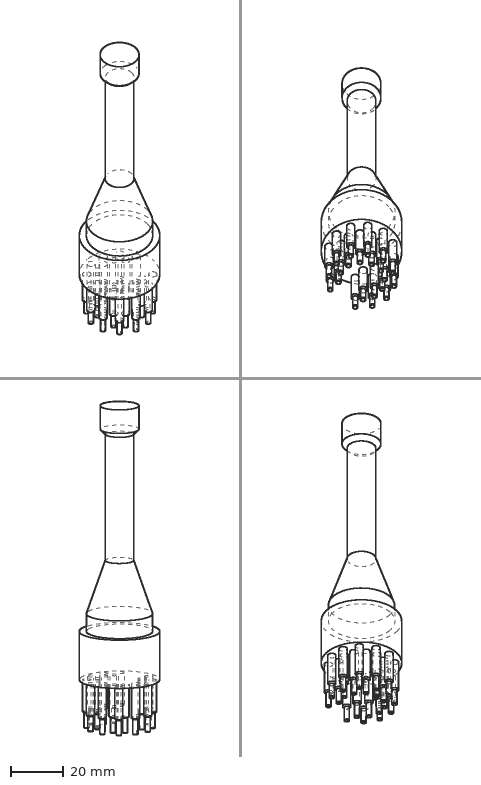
import cadquery as cq

total_height = 127.0
pin_shoulder_z = 6.0
body_bottom_z = 19.0
body_top_z = 38.1
collar_top_z = 45.1
cone_top_z = 66.0
head_bottom_z = 117.7

body_radius = 31.0 / 2
collar_radius = 25.5 / 2
stem_radius = 11.0 / 2
head_radius = 15.0 / 2

pin_radius = 3.2 / 2
tip_radius = 2.0 / 2
shoulder_chamfer = pin_radius - tip_radius
tip_chamfer = 0.3

pins_per_ring = 12
pin_pitch = 360 / pins_per_ring
outer_ring_radius = 12.7
inner_ring_radius = 8.9
inner_ring_offset = pin_pitch / 2
key_angle = 90
key_half_angle = 20


def make_body():
    """Connector body, tapered neck, stem and head turned about Z."""
    head_chamfer = head_radius - stem_radius
    profile = [
        (0, body_bottom_z),
        (body_radius, body_bottom_z),
        (body_radius, body_top_z),
        (collar_radius, body_top_z),
        (collar_radius, collar_top_z),
        (stem_radius, cone_top_z),
        (stem_radius, head_bottom_z - head_chamfer),
        (head_radius, head_bottom_z),
        (head_radius, total_height),
        (0, total_height),
    ]
    return cq.Workplane("XZ").polyline(profile).close().revolve(360, (0, 0), (0, 1))


def make_pin():
    """Stepped pin on the Z axis with its tip at Z = 0 and its root inside the body."""
    root_overlap = 1.3
    shank_length = body_bottom_z - pin_shoulder_z + root_overlap
    shank = (
        cq.Workplane("XY", origin=(0, 0, pin_shoulder_z))
        .circle(pin_radius)
        .extrude(shank_length)
        .faces("<Z")
        .chamfer(shoulder_chamfer)
    )
    tip = (
        cq.Workplane("XY")
        .circle(tip_radius)
        .extrude(pin_shoulder_z + root_overlap)
        .faces("<Z")
        .chamfer(tip_chamfer)
    )
    return shank.union(tip)


def make_pin_ring(ring_radius, start_angle):
    """Evenly spaced pins on one circle, skipping those beside the key."""
    pin = make_pin().translate((ring_radius, 0, 0))
    ring = cq.Workplane("XY")
    for index in range(pins_per_ring):
        angle = start_angle + index * pin_pitch
        if abs(angle - key_angle) > key_half_angle:
            ring = ring.add(pin.rotate((0, 0, 0), (0, 0, 1), angle))
    return ring


result = make_body()
for ring_radius, start_angle in (
    (outer_ring_radius, 0),
    (inner_ring_radius, inner_ring_offset),
):
    for pin in make_pin_ring(ring_radius, start_angle).vals():
        result = result.union(cq.Workplane(pin))